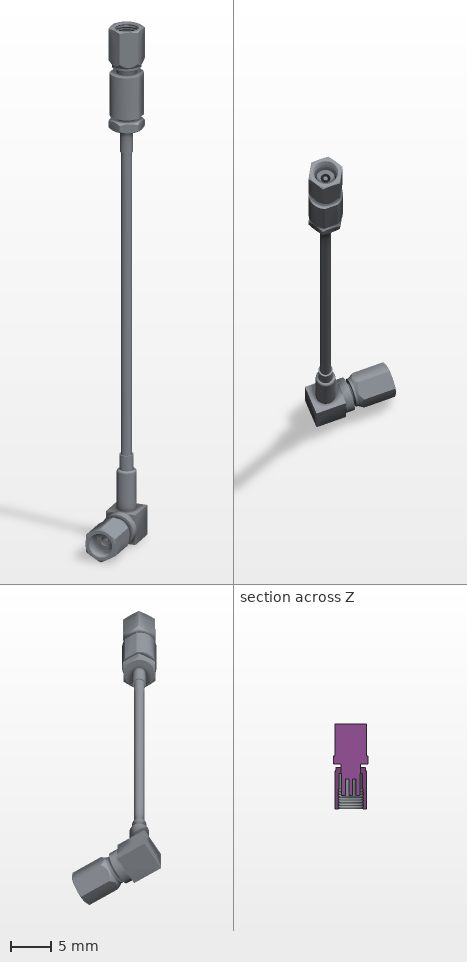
import cadquery as cq
import math

HEX_FLATS = 4.0
HEX_CORNERS = HEX_FLATS / math.cos(math.pi / 6)
COLLAR_DIAMETER = 4.3
COLLAR_R = COLLAR_DIAMETER / 2
NECK_R = 1.25

NUT_LENGTH = 5.2
NUT_RIM_R = 1.85
NUT_RIM_LENGTH = 0.3
NUT_CONE_LENGTH = 0.7
NUT_BACK_WALL = 0.8
FACE_R = HEX_FLATS / 2
BEVEL_LENGTH = 0.15

THREAD_MINOR_R = 1.45
THREAD_MAJOR_R = 1.6
THREAD_PITCH = 0.35
THREAD_COUNT = 8

PLUG_R = 1.2
PLUG_BORE_R = 0.6
PLUG_LENGTH = 2.75
PLUG_BORE_DEPTH = 2.05
PIN_R = 0.3

TOTAL_HEIGHT = 68.6
TOP_NUT_BACK = TOTAL_HEIGHT - NUT_LENGTH
BARREL_TOP = 62.55
BARREL_BOTTOM = 56.9
BARREL_FLATS = HEX_FLATS
LOCK_HEX_TOP = 56.4
LOCK_HEX_BOTTOM = 55.1
LOCK_HEX_FACE_R = 1.9
LOCK_HEX_BEVEL = 0.24
CABLE_TOP = 52.0
CABLE_BOTTOM = 11.5
ELBOW_AXIS_Z = HEX_CORNERS / 2

CABLE_R = 0.7
STRAIGHT_SLEEVE_R = 0.8

BLOCK_SIZE = 4.0
COLLAR_LENGTH = 1.1
ELBOW_NECK_LENGTH = 0.38
ELBOW_NUT_BACK = BLOCK_SIZE / 2 + COLLAR_LENGTH + ELBOW_NECK_LENGTH
FERRULE_R = 1.25
FERRULE_TOP = 9.5
FERRULE_FILLET = 0.3
ELBOW_SLEEVE_R = 0.9


def cylinder(radius, start, end):
    """Cylinder on the Z axis between two heights."""
    return cq.Workplane("XY").workplane(offset=start).circle(radius).extrude(end - start)


def hexagon(start, end):
    """Hexagonal prism on the Z axis with corners on +Y and -Y."""
    prism = cq.Workplane("XY").workplane(offset=start).polygon(6, HEX_CORNERS).extrude(end - start)
    return prism.rotate((0, 0, 0), (0, 0, 1), 90)


def revolved(profile):
    """Solid of revolution about Z from (radius, height) points."""
    return cq.Workplane("XZ").polyline(profile).close().revolve(360, (0, 0, 0), (0, 1, 0))


def threaded_bore():
    """Space inside the nut: a bore with V-shaped ring grooves, widest at the mouth."""
    thread_start = NUT_LENGTH - THREAD_COUNT * THREAD_PITCH
    profile = [(0, NUT_BACK_WALL), (THREAD_MINOR_R, NUT_BACK_WALL)]
    for ring in range(THREAD_COUNT):
        ridge = thread_start + (ring + 0.5) * THREAD_PITCH
        profile.append((THREAD_MINOR_R, ridge))
        profile.append((THREAD_MAJOR_R, ridge + THREAD_PITCH / 2))
    profile.append((0, NUT_LENGTH))
    return revolved(profile)


def coupling_nut():
    """Nut along +Z with its back face at Z = 0 and its mouth at the far end."""
    envelope = revolved([
        (0, 0),
        (NUT_RIM_R, 0),
        (NUT_RIM_R, NUT_RIM_LENGTH),
        (HEX_CORNERS / 2, NUT_RIM_LENGTH + NUT_CONE_LENGTH),
        (HEX_CORNERS / 2, NUT_LENGTH - BEVEL_LENGTH),
        (FACE_R, NUT_LENGTH),
        (0, NUT_LENGTH),
    ])
    nut = hexagon(0, NUT_LENGTH).intersect(envelope)
    return nut.cut(threaded_bore()).cut(cylinder(NECK_R, 0, NUT_BACK_WALL))


def plug(neck_length):
    """Neck and hollow plug with a centre pin; Z = 0 is the back of the nut."""
    plug_end = NUT_BACK_WALL + PLUG_LENGTH
    socket = cylinder(PLUG_BORE_R, plug_end - PLUG_BORE_DEPTH, plug_end)
    pin = cylinder(PIN_R, plug_end - PLUG_BORE_DEPTH, plug_end)
    body = cylinder(NECK_R, -neck_length, NUT_BACK_WALL).union(cylinder(PLUG_R, 0, plug_end))
    return body.cut(socket).union(pin)


def turn_to_elbow(shape):
    """Move a shape built along +Z onto the elbow's outlet, pointing along -Y."""
    turned = shape.rotate((0, 0, 0), (1, 0, 0), 90)
    return turned.translate((0, -ELBOW_NUT_BACK, ELBOW_AXIS_Z))


def straight_connector():
    barrel = cylinder(COLLAR_R, BARREL_BOTTOM, BARREL_TOP)
    flats = cq.Workplane("XY").box(BARREL_FLATS, COLLAR_DIAMETER, 2 * BARREL_TOP)
    barrel = barrel.intersect(flats)

    lock_hex = hexagon(LOCK_HEX_BOTTOM, LOCK_HEX_TOP)
    bevelled = revolved([
        (0, LOCK_HEX_BOTTOM),
        (LOCK_HEX_FACE_R, LOCK_HEX_BOTTOM),
        (HEX_CORNERS / 2, LOCK_HEX_BOTTOM + LOCK_HEX_BEVEL),
        (HEX_CORNERS / 2, LOCK_HEX_TOP - LOCK_HEX_BEVEL),
        (LOCK_HEX_FACE_R, LOCK_HEX_TOP),
        (0, LOCK_HEX_TOP),
    ])
    lock_hex = lock_hex.intersect(bevelled)

    sleeve = cylinder(STRAIGHT_SLEEVE_R, CABLE_TOP, LOCK_HEX_BOTTOM)
    neck = plug(TOP_NUT_BACK - LOCK_HEX_TOP).translate((0, 0, TOP_NUT_BACK))
    return barrel.union(neck).union(lock_hex).union(sleeve)


def elbow_connector():
    block = cq.Workplane("XY").box(BLOCK_SIZE, BLOCK_SIZE, BLOCK_SIZE).translate((0, 0, ELBOW_AXIS_Z))
    block_top = ELBOW_AXIS_Z + BLOCK_SIZE / 2
    ferrule = cylinder(FERRULE_R, block_top, FERRULE_TOP).faces(">Z").edges().fillet(FERRULE_FILLET)
    sleeve = cylinder(ELBOW_SLEEVE_R, FERRULE_TOP, CABLE_BOTTOM)
    collar = cylinder(COLLAR_R, -ELBOW_NECK_LENGTH - COLLAR_LENGTH, -ELBOW_NECK_LENGTH)
    outlet = turn_to_elbow(collar.union(plug(ELBOW_NECK_LENGTH)))
    return block.union(ferrule).union(sleeve).union(outlet)


straight = straight_connector()
straight_nut = coupling_nut().translate((0, 0, TOP_NUT_BACK))
cable = cylinder(CABLE_R, CABLE_BOTTOM, CABLE_TOP)
elbow = elbow_connector()
elbow_nut = turn_to_elbow(coupling_nut())

result = cq.Compound.makeCompound(
    [straight.val(), straight_nut.val(), cable.val(), elbow.val(), elbow_nut.val()]
)